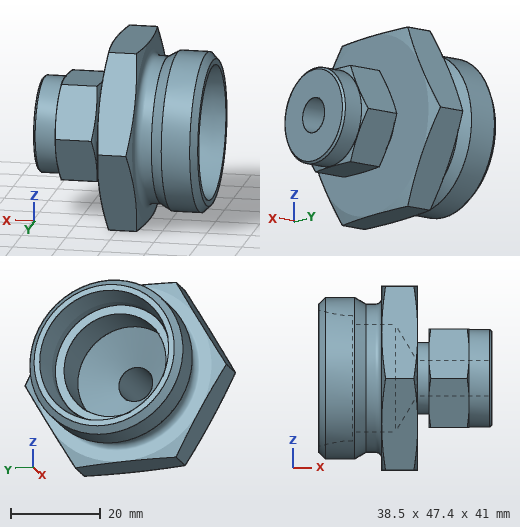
import cadquery as cq
import math

corner_width = 47.35
flats_to_corners = 1 / math.cos(math.radians(30))
large_flats = corner_width / flats_to_corners
small_flats = 22.0
hex_chamfer_angle = 15.0

large_hex_start = 14.0
large_hex_end = 22.0
small_hex_start = 24.47
small_hex_end = 33.45
total_length = 38.5

thread_radius = 18.0
relief_radius = 16.5
thread_lead_in = 1.5
relief_start = 10.5
relief_taper_angle = 30.0
shoulder_fillet = 1.35

neck_radius = 8.0
collar_radius = 10.9
collar_chamfer = 0.45

mouth_radius = 15.15
socket_radius = 14.0
seat_angle = 12.0
socket_depth = 7.5
bore_radius = 12.0
bore_depth = 17.05
hole_radius = 4.0
funnel_angle = 59.0


def taper_length(radius_change, angle):
    """Axial length of a cone whose side is at the given angle to the axis."""
    return radius_change / math.tan(math.radians(angle))


def revolve_about_x(profile):
    """Close a half profile drawn in the XY plane and turn it about the X axis."""
    return profile.close().revolve(360, (0, 0, 0), (1, 0, 0))


def chamfered_hexagon(flats, start, end):
    """Hexagonal prism along X, flats facing +Z and -Z, corners turned down at both ends."""
    flat_radius = flats / 2
    corner_radius = flat_radius * flats_to_corners
    chamfer_length = (corner_radius - flat_radius) * math.tan(math.radians(hex_chamfer_angle))
    prism = (
        cq.Workplane("YZ", origin=(start, 0, 0))
        .polygon(6, 2 * corner_radius)
        .extrude(end - start)
    )
    envelope = revolve_about_x(
        cq.Workplane("XY")
        .moveTo(start, 0)
        .lineTo(start, flat_radius)
        .lineTo(start + chamfer_length, corner_radius)
        .lineTo(end - chamfer_length, corner_radius)
        .lineTo(end, flat_radius)
        .lineTo(end, 0)
    )
    return prism.intersect(envelope)


def threaded_end():
    """Plain thread body, tapered relief groove and rounded corner at the large hexagon."""
    taper_start = relief_start - taper_length(thread_radius - relief_radius, relief_taper_angle)
    return revolve_about_x(
        cq.Workplane("XY")
        .moveTo(0, 0)
        .lineTo(0, thread_radius - thread_lead_in)
        .lineTo(thread_lead_in, thread_radius)
        .lineTo(taper_start, thread_radius)
        .lineTo(relief_start, relief_radius)
        .lineTo(large_hex_start - shoulder_fillet, relief_radius)
        .radiusArc((large_hex_start, relief_radius + shoulder_fillet), -shoulder_fillet)
        .lineTo(large_hex_start, 0)
    )


def cylinder_along_x(radius, start, end):
    return cq.Workplane("YZ", origin=(start, 0, 0)).circle(radius).extrude(end - start)


def bore():
    """Tapered seat, tube socket, bore and funnel leading to the through hole."""
    seat_depth = taper_length(mouth_radius - socket_radius, seat_angle)
    funnel_end = bore_depth + taper_length(bore_radius - hole_radius, funnel_angle)
    return revolve_about_x(
        cq.Workplane("XY")
        .moveTo(0, 0)
        .lineTo(0, mouth_radius)
        .lineTo(seat_depth, socket_radius)
        .lineTo(socket_depth, socket_radius)
        .lineTo(socket_depth, bore_radius)
        .lineTo(bore_depth, bore_radius)
        .lineTo(funnel_end, hole_radius)
        .lineTo(total_length, hole_radius)
        .lineTo(total_length, 0)
    )


collar = (
    cylinder_along_x(collar_radius, small_hex_end, total_length)
    .faces(">X")
    .chamfer(collar_chamfer)
)

result = (
    threaded_end()
    .union(chamfered_hexagon(large_flats, large_hex_start, large_hex_end))
    .union(cylinder_along_x(neck_radius, large_hex_end, small_hex_start))
    .union(chamfered_hexagon(small_flats, small_hex_start, small_hex_end))
    .union(collar)
    .cut(bore())
)